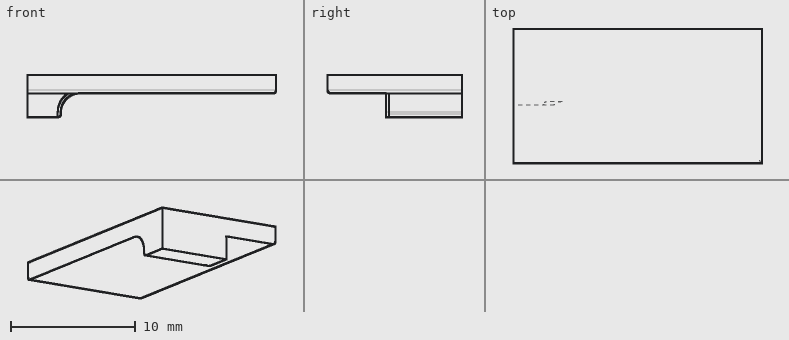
import cadquery as cq

length = 19.98
width = 10.8
height = 3.42

plate_thickness = 1.5
block_length = 2.7
block_width = 6.11
cove_radius = 1.5
edge_radius = 0.25

front_y = -width / 2
back_y = width / 2
block_front_y = back_y - block_width
plate_bottom = height - plate_thickness
cove_x = block_length + cove_radius
cove_z = plate_bottom - cove_radius


def make_plate():
    """Flat plate with its lower front and lower far-end edges rounded."""
    plate = cq.Workplane("XY").box(length, width, plate_thickness, centered=(False, True, False))
    plate = plate.translate((0, 0, plate_bottom))
    lower_edges = plate.faces("<Z").edges("<Y or >X")
    return lower_edges.fillet(edge_radius)


def make_block():
    """Block with a cove up to the plate and a rounded lower edge."""
    profile = (
        cq.Workplane("XZ", origin=(0, back_y, 0))
        .lineTo(block_length - edge_radius, 0)
        .radiusArc((block_length, edge_radius), -edge_radius)
        .lineTo(block_length, cove_z)
        .radiusArc((cove_x, plate_bottom), cove_radius)
        .lineTo(cove_x, height - plate_thickness / 2)
        .lineTo(0, height - plate_thickness / 2)
        .close()
    )
    return profile.extrude(block_width)


def rounding_section():
    """Horizontal section of the material removed along the block's front edge."""
    wall_x = block_length
    return (
        cq.Workplane("XY", origin=(0, 0, cove_z))
        .moveTo(wall_x - edge_radius, block_front_y)
        .radiusArc((wall_x, block_front_y + edge_radius), edge_radius)
        .lineTo(cove_x, block_front_y + edge_radius)
        .lineTo(cove_x, block_front_y)
        .close()
    )


def make_edge_rounding():
    """Cutter that rounds the front edge down the wall and around the cove."""
    wall_part = rounding_section().extrude(-cove_z)
    cove_part = rounding_section().revolve(90, (cove_x, 0, 0), (cove_x, 1, 0))
    return wall_part.union(cove_part)


block = make_block().cut(make_edge_rounding())
result = make_plate().union(block).translate((-length / 2, 0, -height / 2))